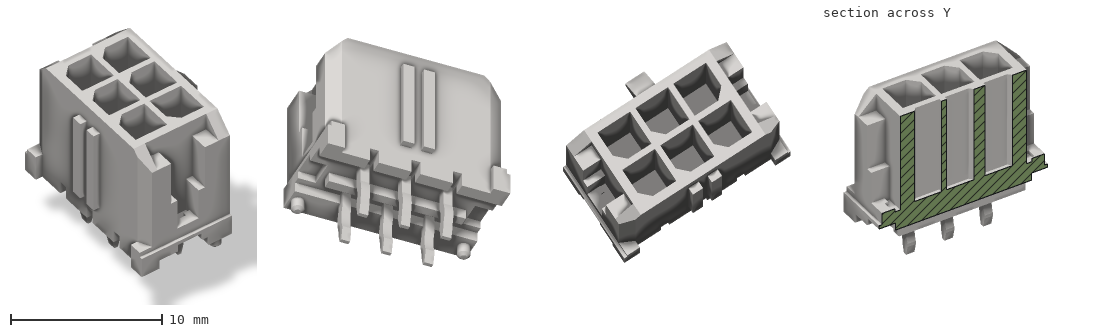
import cadquery as cq


pitch = 3.0
columns = (-pitch, 0, pitch)
row_offset = pitch / 2

flange_half_length = 6.58
body_half_length = 6.34
top_half_length = 4.93
half_depth = 3.42
height = 9.92
shoulder_height = 8.55
flange_height = 1.6
front_projection = 0.53
front_face = -half_depth - front_projection
step_height = 1.99
corner_inner_x = 5.35
corner_cut_y = 0.49

cavity_size = 2.58
cavity_chamfer = 0.72
cavity_floor = 2.52

shoulder_half_depth = 2.5
end_slot_half = 1.38
end_slot_floor = 5.0
key_slot_half = 0.87
key_slot_floor = 2.52
pocket_depth = 0.26
pocket_x = 5.31
pocket_bump_x = 5.6
pocket_bump_half = 0.38

channel_height = 0.72
channel_rear = 1.53
channel_front = -2.5
end_notch_half = 1.0
end_notch_top = 1.3
rail_width = 0.68

rib_width = 0.8
rib_spacing = 1.5

latch_half_width = 0.75
latch_reach = 1.41
latch_ramp_top = 9.52
latch_nose_top = 8.14
latch_bottom = 7.4
latch_fillet = 0.37

peg_x = 5.98
peg_y = 2.45
peg_radius = 0.45
peg_length = 0.88
peg_chamfer = 0.21

pin_width = 0.65
pin_thickness = 0.66
pin_slot_top = 1.01
bend_top = -0.54
bend_bottom = -2.17
taper_start = -2.42
pin_tip = -3.17
outer_bulge = 0.15
inner_bulge = 0.16
tip_half_thickness = 0.15


def box(x0, x1, y0, y1, z0, z1):
    """Block between two opposite corners."""
    return cq.Workplane("XY").box(x1 - x0, y1 - y0, z1 - z0, centered=False).translate((x0, y0, z0))


def both_ends(shape):
    """The shape on the -X end joined with its mirror image on the +X end."""
    return shape.union(shape.mirror("YZ"))


def make_body():
    """Main block with sloped upper ends, bevelled front corners and end flanges."""
    outline = [
        (-body_half_length, 0),
        (body_half_length, 0),
        (body_half_length, shoulder_height),
        (top_half_length, height),
        (-top_half_length, height),
        (-body_half_length, shoulder_height),
    ]
    body = cq.Workplane("XZ", origin=(0, half_depth, 0)).polyline(outline).close().extrude(2 * half_depth)
    corner = (
        cq.Workplane("XY", origin=(0, 0, step_height))
        .moveTo(-body_half_length, -half_depth)
        .lineTo(-corner_inner_x, -half_depth)
        .lineTo(-body_half_length, -half_depth + corner_cut_y)
        .close()
        .extrude(height - step_height)
    )
    flange = box(-flange_half_length, -corner_inner_x, front_face, half_depth, 0, flange_height)
    foot = box(-body_half_length, -corner_inner_x, front_face, -half_depth + corner_cut_y, 0, step_height)
    return body.cut(both_ends(corner)).union(both_ends(flange.union(foot)))


def make_cavity(x, y, chamfer_side):
    """One cavity; its front corner on the chamfer_side (-1 or +1 in X) is cut off for polarity."""
    half = cavity_size / 2
    return (
        cq.Workplane("XY", origin=(x, y, cavity_floor))
        .moveTo(-chamfer_side * half, -half)
        .lineTo(chamfer_side * (half - cavity_chamfer), -half)
        .lineTo(chamfer_side * half, -half + cavity_chamfer)
        .lineTo(chamfer_side * half, half)
        .lineTo(-chamfer_side * half, half)
        .close()
        .extrude(height - cavity_floor)
    )


def make_end_recess():
    """Stepped recess in the -X end wall with a shallow T-shaped pocket in its floor."""
    outer = -flange_half_length
    inner = -top_half_length
    pocket_floor = key_slot_floor - pocket_depth
    recess = box(outer, inner, -shoulder_half_depth, shoulder_half_depth, shoulder_height, height)
    recess = recess.union(box(outer, inner, -end_slot_half, end_slot_half, end_slot_floor, height))
    recess = recess.union(box(outer, inner, -key_slot_half, key_slot_half, key_slot_floor, height))
    recess = recess.union(box(-pocket_x, inner, -key_slot_half, key_slot_half, pocket_floor, height))
    return recess.union(
        box(-pocket_bump_x, inner, -pocket_bump_half, pocket_bump_half, pocket_floor, key_slot_floor)
    )


def make_underside():
    """Channel along X around a centre rail, raised at both ends, plus the front pin slots."""
    outer = -flange_half_length
    channel = box(outer, -outer, channel_front, channel_rear, 0, channel_height)
    rail = box(-top_half_length, top_half_length, -rail_width / 2, rail_width / 2, 0, channel_height)
    notch = box(outer, -pocket_x, -end_notch_half, end_notch_half, 0, end_notch_top)
    cuts = channel.cut(rail).union(both_ends(notch))
    for x in columns:
        cuts = cuts.union(box(x - pin_width / 2, x + pin_width / 2, -half_depth, -row_offset, 0, pin_slot_top))
    return cuts


def make_latch():
    """Ramped latch on the rear wall with a fillet under its nose."""
    nose = half_depth + latch_reach
    return (
        cq.Workplane("YZ", origin=(-latch_half_width, 0, 0))
        .moveTo(half_depth, latch_ramp_top)
        .lineTo(nose, latch_nose_top)
        .lineTo(nose, latch_bottom)
        .lineTo(half_depth + latch_fillet, latch_bottom)
        .radiusArc((half_depth, latch_bottom - latch_fillet), -latch_fillet)
        .close()
        .extrude(2 * latch_half_width)
    )


def make_peg():
    """Locating peg under the -X end, with a chamfered tip."""
    return (
        cq.Workplane("XY", origin=(-peg_x, peg_y, -peg_length))
        .circle(peg_radius)
        .extrude(peg_length)
        .faces("<Z")
        .chamfer(peg_chamfer)
    )


def make_pin(x):
    """Rear-row contact tail that bows outward before its tapered tip."""
    inner = row_offset - pin_thickness / 2
    outer = row_offset + pin_thickness / 2
    bend_middle = (bend_top + bend_bottom) / 2
    return (
        cq.Workplane("YZ", origin=(x - pin_width / 2, 0, 0))
        .moveTo(inner, pin_slot_top)
        .lineTo(inner, bend_top)
        .threePointArc((inner + inner_bulge, bend_middle), (inner, bend_bottom))
        .lineTo(inner, taper_start)
        .lineTo(row_offset - tip_half_thickness, pin_tip)
        .lineTo(row_offset + tip_half_thickness, pin_tip)
        .lineTo(outer, taper_start)
        .lineTo(outer, bend_bottom)
        .threePointArc((outer + outer_bulge, bend_middle), (outer, bend_top))
        .lineTo(outer, pin_slot_top)
        .close()
        .extrude(pin_width)
    )


housing = make_body().union(make_latch()).union(both_ends(make_peg()))

for x in (-rib_spacing / 2, rib_spacing / 2):
    rib = box(x - rib_width / 2, x + rib_width / 2, front_face, -half_depth, step_height, shoulder_height)
    housing = housing.union(rib)

housing = housing.cut(both_ends(make_end_recess())).cut(make_underside())

for x in columns:
    for y in (-row_offset, row_offset):
        chamfer_side = 1 if x > 0 and y > 0 else -1
        housing = housing.cut(make_cavity(x, y, chamfer_side))

for x in columns:
    rear_pin = make_pin(x)
    housing = housing.union(rear_pin).union(rear_pin.mirror("XZ"))

result = housing